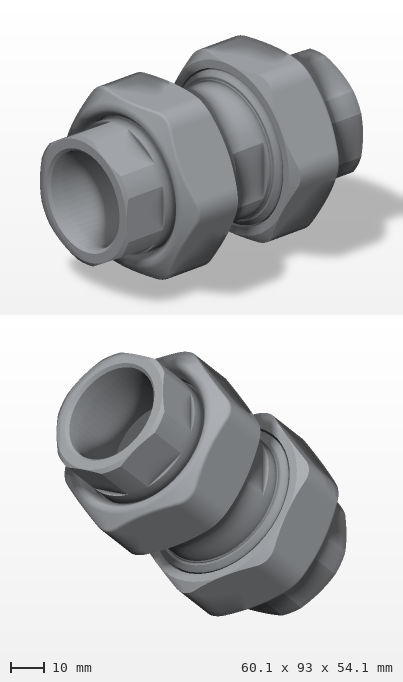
import cadquery as cq
import math

total_length = 93.0
cone_slope = math.tan(math.radians(30))

nut_across_flats = 54.1
nut_corner_radius = 7.7
nut_inner_y = 10.5
nut_outer_y = 30.5
inner_face_diameter = 53.9
lip_crest_diameter = 48.4
lip_crest_width = 0.3
lip_outer_round_radius = 2.4
lip_mouth_round_radius = 1.95
lip_bore_diameter = 42.2
lip_inner_y = 26.0
nut_bore_diameter = 48.7
cone_edge_radius = 1.0

barrel_diameter = 42.0
collar_diameter = 47.6
collar_face_diameter = 44.5
collar_face_y = 9.1
collar_root_radius = 0.5
barrel_end_y = 22.3
barrel_across_flats = 37.9
barrel_flat_length = 12.1
barrel_flat_center_y = 1.4

tail_diameter = 41.0
tail_across_flats = 38.5
tail_flat_start_y = 32.3
tail_face_diameter = 38.3
tail_bore_diameter = 30.5
bore_chamfer = 0.9

end_angles = (0, 180)


def hexagon_prism(across_flats, corner_angle, start_y, end_y):
    """Hexagon prism along Y, with a corner at this angle from +X in the XZ plane."""
    corner_diameter = across_flats / math.cos(math.radians(30))
    return (
        cq.Workplane("XZ", origin=(0, start_y, 0))
        .transformed(rotate=(0, 0, corner_angle))
        .polygon(6, corner_diameter)
        .extrude(start_y - end_y)
    )


def cylinder(diameter, start_y, end_y):
    """Cylinder along the Y axis."""
    return cq.Workplane("XZ", origin=(0, start_y, 0)).circle(diameter / 2).extrude(start_y - end_y)


def revolve_about_y(profile):
    """Close a profile, drawn with X as radius, and turn it about the Y axis."""
    return profile.close().revolve(360, (0, 0, 0), (0, 1, 0))


def nut_envelope():
    """Turned limits of the nut: a cone at each end and a rounded lip at the outer end."""
    outer_radius = nut_across_flats / math.sqrt(3)
    inner_face_radius = inner_face_diameter / 2
    lip_bore_radius = lip_bore_diameter / 2
    crest_outer_radius = lip_crest_diameter / 2
    crest_inner_radius = crest_outer_radius - lip_crest_width

    def on_lip_round(crest_radius, round_radius, angle):
        """Point on a round that leaves the crest at 90 degrees; 0 degrees points outward."""
        turn = math.radians(angle)
        return (
            crest_radius + round_radius * math.cos(turn),
            nut_outer_y + round_radius * (math.sin(turn) - 1),
        )

    cone_start = on_lip_round(crest_outer_radius, lip_outer_round_radius, 60)
    cone_round_middle = on_lip_round(crest_outer_radius, lip_outer_round_radius, 75)
    mouth_round_middle = on_lip_round(crest_inner_radius, lip_mouth_round_radius, 112.5)
    mouth_start = on_lip_round(crest_inner_radius, lip_mouth_round_radius, 135)
    mouth_end_y = mouth_start[1] - (mouth_start[0] - lip_bore_radius)
    inner_cone_end_y = nut_inner_y + (outer_radius - inner_face_radius) * cone_slope
    outer_cone_end_y = cone_start[1] - (outer_radius - cone_start[0]) * cone_slope
    profile = (
        cq.Workplane("XY")
        .moveTo(lip_bore_radius, nut_inner_y)
        .lineTo(inner_face_radius, nut_inner_y)
        .lineTo(outer_radius, inner_cone_end_y)
        .lineTo(outer_radius, outer_cone_end_y)
        .lineTo(*cone_start)
        .threePointArc(cone_round_middle, (crest_outer_radius, nut_outer_y))
        .lineTo(crest_inner_radius, nut_outer_y)
        .threePointArc(mouth_round_middle, mouth_start)
        .lineTo(lip_bore_radius, mouth_end_y)
    )
    return revolve_about_y(profile)


def is_outer_cone_edge(edge):
    """True for the curved edges where the outer cone meets the sides of the hexagon."""
    nut_middle_y = (nut_inner_y + nut_outer_y) / 2
    return edge.geomType() not in ("LINE", "CIRCLE") and edge.Center().y > nut_middle_y


def make_nut():
    """Union nut of the +Y end."""
    hexagon = hexagon_prism(nut_across_flats, 0, nut_inner_y, nut_outer_y)
    hexagon = hexagon.edges("|Y").fillet(nut_corner_radius)
    nut = hexagon.intersect(nut_envelope())
    nut = nut.edges().filter(is_outer_cone_edge).fillet(cone_edge_radius)
    return nut.cut(cylinder(nut_bore_diameter, nut_inner_y, lip_inner_y))


def make_tailpiece():
    """Tailpiece of the +Y end: clamped flange, bored neck and six wrench flats."""
    end_y = total_length / 2
    neck_radius = tail_diameter / 2
    face_radius = tail_face_diameter / 2
    edge_start_y = end_y - (neck_radius - face_radius) * cone_slope
    profile = (
        cq.Workplane("XY")
        .moveTo(0, barrel_end_y)
        .lineTo(collar_diameter / 2, barrel_end_y)
        .lineTo(collar_diameter / 2, lip_inner_y)
        .lineTo(neck_radius, lip_inner_y)
        .lineTo(neck_radius, edge_start_y)
        .lineTo(face_radius, end_y)
        .lineTo(0, end_y)
    )
    body = revolve_about_y(profile)
    hexagon = hexagon_prism(tail_across_flats, 30, tail_flat_start_y, end_y)
    outside_flats = cylinder(collar_diameter, tail_flat_start_y, end_y).cut(hexagon)
    bore = cylinder(tail_bore_diameter, barrel_end_y, end_y)
    tailpiece = body.cut(outside_flats).cut(bore)
    bore_rim = tailpiece.faces(">Y").edges(cq.selectors.RadiusNthSelector(0))
    return bore_rim.chamfer(bore_chamfer)


def make_collar():
    """Coned collar on the +Y end of the barrel, with a rounded root."""
    barrel_radius = barrel_diameter / 2
    collar_radius = collar_diameter / 2
    face_radius = collar_face_diameter / 2
    cone_end_y = collar_face_y + (collar_radius - face_radius)
    root_start = (barrel_radius, collar_face_y - collar_root_radius)
    root_end = (barrel_radius + collar_root_radius, collar_face_y)
    profile = (
        cq.Workplane("XY")
        .moveTo(0, root_start[1])
        .lineTo(*root_start)
        .tangentArcPoint(root_end, relative=False)
        .lineTo(face_radius, collar_face_y)
        .lineTo(collar_radius, cone_end_y)
        .lineTo(collar_radius, barrel_end_y)
        .lineTo(0, barrel_end_y)
    )
    return revolve_about_y(profile)


def make_barrel():
    """Solid barrel with a collar at each end and two opposite wrench flats."""
    barrel = cylinder(barrel_diameter, -barrel_end_y, barrel_end_y)
    for angle in end_angles:
        barrel = barrel.union(make_collar().rotate((0, 0, 0), (0, 0, 1), angle))
    flat_block = cq.Workplane("XY").box(
        barrel_diameter - barrel_across_flats, barrel_flat_length, barrel_diameter
    )
    for side in (-1, 1):
        barrel = barrel.cut(flat_block.translate((side * barrel_diameter / 2, barrel_flat_center_y, 0)))
    return barrel


def at_both_ends(body):
    """Copies of a +Y end body on both ends of the coupling."""
    return [body.rotate((0, 0, 0), (0, 0, 1), angle).val() for angle in end_angles]


barrel = make_barrel()
nuts = at_both_ends(make_nut())
tailpieces = at_both_ends(make_tailpiece())

result = cq.Compound.makeCompound([barrel.val(), *nuts, *tailpieces])